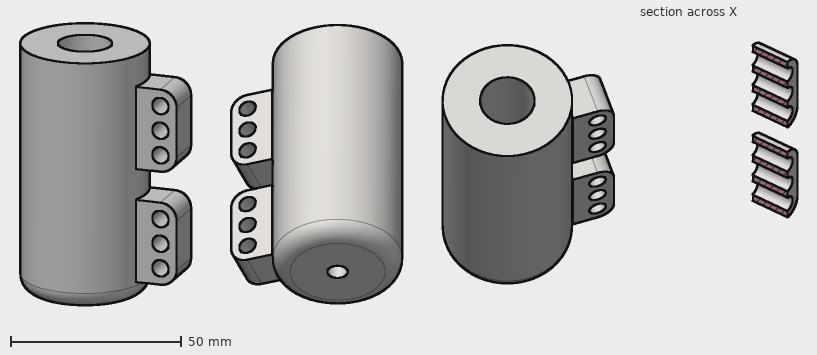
import cadquery as cq

BODY_DIAMETER = 38.1
BODY_HEIGHT = 76.2
BASE_ROUNDING = 5.08

BORE_DIAMETER = 16.0
FLOOR_THICKNESS = 10.0
FLOOR_HOLE_DIAMETER = 6.0

LUG_TIP_X = 30.9
LUG_LENGTH = 12.7
LUG_THICKNESS = 12.7
LUG_HEIGHT = 25.4
LUG_CORNER_RADIUS = 5.08
LOWER_LUG_BOTTOM = 6.35
LUG_GAP = 9.525
LUG_BOTTOMS = (LOWER_LUG_BOTTOM, LOWER_LUG_BOTTOM + LUG_HEIGHT + LUG_GAP)

LUG_HOLE_DIAMETER = 5.08
LUG_HOLE_COUNT = 3
LUG_HOLE_PITCH = 1.5 * LUG_HOLE_DIAMETER
LUG_HOLE_X = LUG_TIP_X - LUG_CORNER_RADIUS


def make_body():
    body = cq.Workplane("XY").circle(BODY_DIAMETER / 2).extrude(BODY_HEIGHT)
    return body.faces("<Z").edges().fillet(BASE_ROUNDING)


def make_lug(bottom):
    """Block along +X with rounded outer corners and a vertical row of holes along Y."""
    middle_x = LUG_TIP_X - LUG_LENGTH / 2
    middle_z = bottom + LUG_HEIGHT / 2
    lug = (
        cq.Workplane("XY")
        .box(LUG_LENGTH, LUG_THICKNESS, LUG_HEIGHT)
        .translate((middle_x, 0, middle_z))
        .edges("|Y and >X")
        .fillet(LUG_CORNER_RADIUS)
    )
    holes = (
        cq.Workplane("XZ", origin=(LUG_HOLE_X, 0, middle_z))
        .rarray(1, LUG_HOLE_PITCH, 1, LUG_HOLE_COUNT)
        .circle(LUG_HOLE_DIAMETER / 2)
        .extrude(LUG_THICKNESS / 2, both=True)
    )
    return lug.cut(holes)


def make_stepped_bore():
    floor_hole = cq.Workplane("XY").circle(FLOOR_HOLE_DIAMETER / 2).extrude(BODY_HEIGHT)
    bore = (
        cq.Workplane("XY", origin=(0, 0, FLOOR_THICKNESS))
        .circle(BORE_DIAMETER / 2)
        .extrude(BODY_HEIGHT - FLOOR_THICKNESS)
    )
    return floor_hole.union(bore)


result = make_body()
for lug_bottom in LUG_BOTTOMS:
    result = result.union(make_lug(lug_bottom))
result = result.cut(make_stepped_bore())